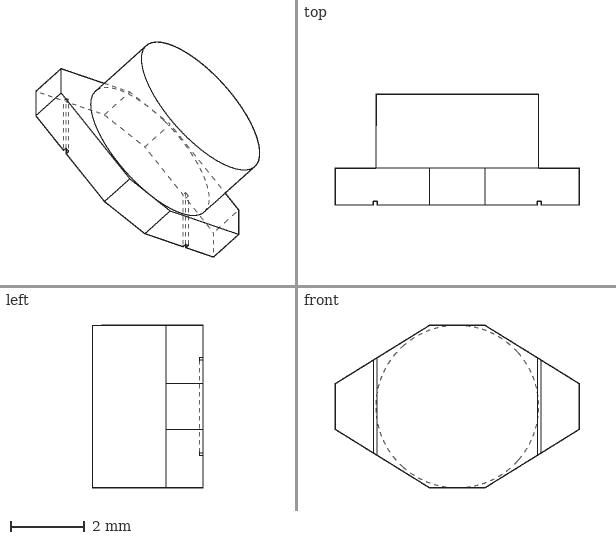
import cadquery as cq

length = 6.6
height = 4.4
plate_thickness = 1.0
drum_length = 2.0
drum_diameter = height

top_flat = 1.5
side_flat = 1.24

groove_width = 0.1
groove_depth = 0.1
groove_offset = 2.22


def make_plate():
    """Eight-sided plate with its front face at Y = 0."""
    outline = [
        (top_flat / 2, height / 2),
        (length / 2, side_flat / 2),
        (length / 2, -side_flat / 2),
        (top_flat / 2, -height / 2),
        (-top_flat / 2, -height / 2),
        (-length / 2, -side_flat / 2),
        (-length / 2, side_flat / 2),
        (-top_flat / 2, height / 2),
    ]
    return cq.Workplane("XZ").polyline(outline).close().extrude(-plate_thickness)


def make_drum():
    """Round drum standing on the back face of the plate."""
    back_face = cq.Workplane("XZ").workplane(offset=-plate_thickness)
    return back_face.circle(drum_diameter / 2).extrude(-drum_length)


def make_groove(center_x):
    """Cutter for one shallow groove running the full height of the front face."""
    cutter = cq.Workplane("XZ").center(center_x, 0).rect(groove_width, height)
    return cutter.extrude(-groove_depth)


result = make_plate().union(make_drum())
for groove_x in (-groove_offset, groove_offset):
    result = result.cut(make_groove(groove_x))